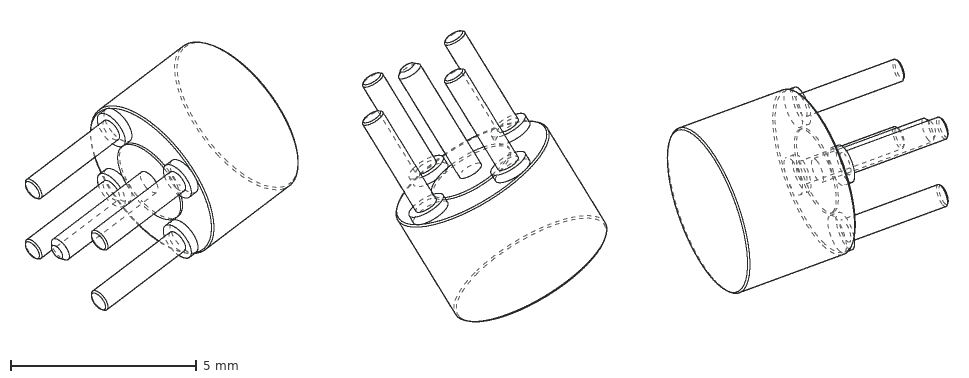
import cadquery as cq

total_length = 6.86
body_diameter = 4.75
body_length = 3.29
body_chamfer = 0.05

disc_diameter = 2.42
disc_height = 0.07

centre_pin_diameter = 0.685
centre_pin_length = total_length - body_length
centre_pin_chamfer = 0.13

outer_pin_diameter = 0.64
outer_pin_length = 3.25
outer_pin_chamfer = 0.05
outer_pin_offset = 1.27
collar_diameter = 1.08
collar_height = 0.255


def post(diameter, length, x=0, z=0):
    """Cylinder standing on the pin face and reaching toward -Y."""
    return cq.Workplane("XZ").center(x, z).circle(diameter / 2).extrude(length)


def pin(diameter, length, tip_chamfer, x=0, z=0):
    """Post with a chamfered free end."""
    return post(diameter, length, x, z).faces("<Y").chamfer(tip_chamfer)


body = post(body_diameter, -body_length).faces("<Y or >Y").chamfer(body_chamfer)

result = body.union(post(disc_diameter, disc_height))
result = result.union(pin(centre_pin_diameter, centre_pin_length, centre_pin_chamfer))

for x in (-outer_pin_offset, outer_pin_offset):
    for z in (-outer_pin_offset, outer_pin_offset):
        result = result.union(post(collar_diameter, collar_height, x, z))
        result = result.union(pin(outer_pin_diameter, outer_pin_length, outer_pin_chamfer, x, z))